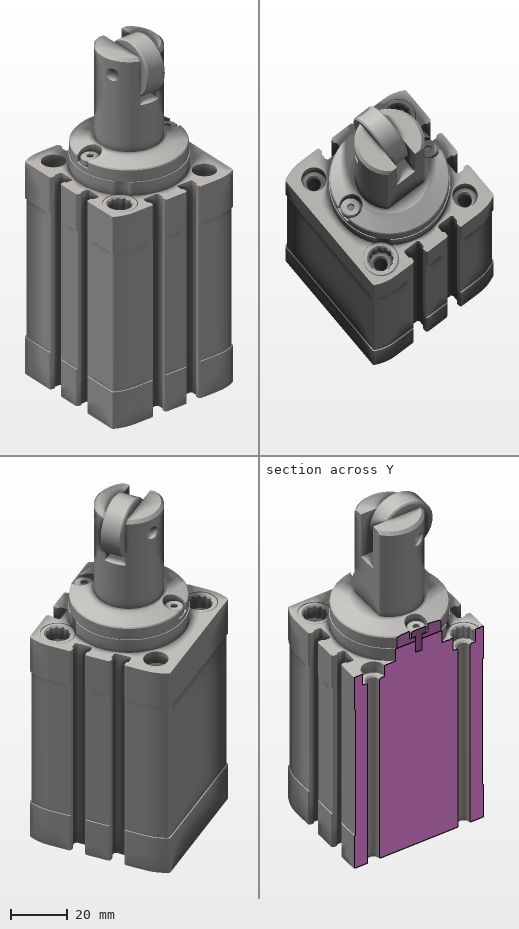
import cadquery as cq
import math

HOUSING_SIDE = 54.5
HOUSING_HEIGHT = 86.6
FRONT_FLAT_HALF = 25.1
CORNER_CHAMFER = 0.3
SIDE_FLAT_HALF = 18.8
END_BAND_HEIGHT = 15.0
MIDDLE_INSET = 0.4

SLOT_OFFSET = 7.6
SLOT_MOUTH_HALF = 2.7
SLOT_CHAMFER = 0.5
SLOT_INNER_HALF = 3.4
SLOT_LIP = 2.0
SLOT_DEPTH = 5.5
SLOT_FACE_ANGLES = (0, 90, -90)

HOLE_PITCH_HALF = 19.0
HOLE_DIAMETER = 5.0
HOLE_MOUTH_DIAMETER = 6.2
COUNTERBORE_DIAMETER = 9.0
COUNTERBORE_DEPTH = 5.0
GROOVE_DIAMETER = 12.8
GROOVE_SIZE = 0.4
SOCKET_FLATS = 8.0
SOCKET_DEPTH = 5.6
SOCKET_MOUTH_DIAMETER = 9.9
SOCKET_HEXAGONS = 2

BOSS_DIAMETER = 43.0
BOSS_TOP = 92.1
CAP_DIAMETER = 42.5
CAP_RIM_TOP = 96.7
CAP_CONE_BASE = 97.1
CAP_CONE_DIAMETER = 41.7
CAP_TOP = 99.3
CAP_FLAT_DIAMETER = 28.2

SCREW_RADIUS_FROM_AXIS = 17.5
SCREW_SEAT = 94.0
SCREW_COUNTERBORE_DIAMETER = 8.3
SCREW_OPENING_WIDTH = 6.2
SCREW_HEAD_DIAMETER = 6.9
SCREW_HEAD_HEIGHT = 2.8
SCREW_HEAD_CHAMFER = 0.4
SCREW_SHANK_DIAMETER = 4.0
SCREW_SHANK_LENGTH = 7.0
SCREW_SOCKET_FLATS = 2.5
SCREW_SOCKET_DEPTH = 1.4

ROD_DIAMETER = 25.0
ROD_FLAT_X = -9.5
ROD_TOP = 137.0
ROD_CHAMFER = 1.1
FORK_WIDTH = 8.0
FORK_BOTTOM = 118.0

ROLLER_DIAMETER = 22.0
ROLLER_X = 5.0
ROLLER_TOP = 141.0
ROLLER_Z = ROLLER_TOP - ROLLER_DIAMETER / 2
ROLLER_CHAMFER = 0.5
AXLE_HOLE_DIAMETER = 5.0

SCREW_POINTS = [(0, -SCREW_RADIUS_FROM_AXIS), (0, SCREW_RADIUS_FROM_AXIS)]
SOCKET_HOLES = [(-HOLE_PITCH_HALF, HOLE_PITCH_HALF), (HOLE_PITCH_HALF, -HOLE_PITCH_HALF)]
PLAIN_HOLES = [(-HOLE_PITCH_HALF, -HOLE_PITCH_HALF), (HOLE_PITCH_HALF, HOLE_PITCH_HALF)]


def cylinder(diameter, bottom, top, points=((0, 0),)):
    """Upright cylinders between two heights, one at each point."""
    return (
        cq.Workplane("XY", origin=(0, 0, bottom))
        .pushPoints(list(points))
        .circle(diameter / 2)
        .extrude(top - bottom)
    )


def profile_prism(inset, bottom, top):
    """Housing outline, moved inwards by `inset`; each corner arc is tangent to the -X or +X face."""
    side = HOUSING_SIDE / 2
    bow_x = side - FRONT_FLAT_HALF
    bow_y = side - SIDE_FLAT_HALF
    radius = (bow_x**2 + bow_y**2) / (2 * bow_x)
    half_angle = math.asin(bow_y / radius) / 2
    mid_x = side - radius * (1 - math.cos(half_angle))
    mid_y = SIDE_FLAT_HALF + radius * math.sin(half_angle)
    outline = (
        cq.Workplane("XY", origin=(0, 0, bottom))
        .moveTo(-FRONT_FLAT_HALF, -side)
        .lineTo(FRONT_FLAT_HALF, -side)
        .threePointArc((mid_x, -mid_y), (side, -SIDE_FLAT_HALF))
        .lineTo(side, SIDE_FLAT_HALF)
        .threePointArc((mid_x, mid_y), (FRONT_FLAT_HALF, side))
        .lineTo(-FRONT_FLAT_HALF, side)
        .threePointArc((-mid_x, mid_y), (-side, SIDE_FLAT_HALF))
        .lineTo(-side, -SIDE_FLAT_HALF)
        .threePointArc((-mid_x, -mid_y), (-FRONT_FLAT_HALF, -side))
        .close()
    )
    if inset:
        outline = outline.offset2D(-inset, "intersection")
    prism = outline.extrude(top - bottom)
    return prism.faces("<Y or >Y").edges("|Z").chamfer(CORNER_CHAMFER)


def slot_cutter(center):
    """T-slot cutter in the -Y face, centred at X = `center`."""
    outer = -HOUSING_SIDE / 2
    slope = SLOT_INNER_HALF - SLOT_MOUTH_HALF
    right_side = [
        (SLOT_MOUTH_HALF + SLOT_CHAMFER, outer),
        (SLOT_MOUTH_HALF, outer + SLOT_CHAMFER),
        (SLOT_MOUTH_HALF, outer + SLOT_LIP),
        (SLOT_INNER_HALF, outer + SLOT_LIP + slope),
        (SLOT_INNER_HALF, outer + SLOT_DEPTH - SLOT_CHAMFER),
        (SLOT_INNER_HALF - SLOT_CHAMFER, outer + SLOT_DEPTH),
    ]
    left_side = [(-x, y) for x, y in reversed(right_side)]
    points = [(center + x, y) for x, y in right_side + left_side]
    return cq.Workplane("XY").polyline(points).close().extrude(HOUSING_HEIGHT)


def cone(bottom_diameter, bottom, top_diameter, top):
    """Upright truncated cone on the Z axis."""
    return (
        cq.Workplane("XY", origin=(0, 0, bottom))
        .circle(bottom_diameter / 2)
        .workplane(offset=top - bottom)
        .circle(top_diameter / 2)
        .loft()
    )


def hexagon_prism(flats, bottom, top, turn):
    """Upright hexagon prism; with no turn, two of its corners lie along X."""
    corner_diameter = flats / math.cos(math.pi / 6)
    prism = cq.Workplane("XY", origin=(0, 0, bottom)).polygon(6, corner_diameter)
    return prism.extrude(top - bottom).rotate((0, 0, 0), (0, 0, 1), turn)


def hole_mouth_cutter(floor):
    """Chamfer at the mouth of a mounting hole that opens in a floor at the given height."""
    depth = (HOLE_MOUTH_DIAMETER - HOLE_DIAMETER) / 2
    return cone(HOLE_DIAMETER, floor - depth, HOLE_MOUTH_DIAMETER, floor)


def plain_hole_cutter():
    """Counterbored mounting hole on the Z axis."""
    floor = HOUSING_HEIGHT - COUNTERBORE_DEPTH
    return (
        cylinder(HOLE_DIAMETER, 0, HOUSING_HEIGHT)
        .union(cylinder(COUNTERBORE_DIAMETER, floor, HOUSING_HEIGHT))
        .union(hole_mouth_cutter(floor))
    )


def socket_hole_cutter():
    """Mounting hole on the Z axis with a twelve-point socket in a V-groove, clear of the boss."""
    floor = HOUSING_HEIGHT - SOCKET_DEPTH
    groove_floor = HOUSING_HEIGHT - GROOVE_SIZE
    groove_inner_diameter = GROOVE_DIAMETER - 2 * GROOVE_SIZE
    island = cone(GROOVE_DIAMETER, groove_floor, groove_inner_diameter, HOUSING_HEIGHT)
    cutter = cylinder(GROOVE_DIAMETER, groove_floor, BOSS_TOP).cut(island)
    cutter = cutter.union(cylinder(HOLE_DIAMETER, 0, HOUSING_HEIGHT)).union(hole_mouth_cutter(floor))
    for index in range(SOCKET_HEXAGONS):
        turn = index * 60 / SOCKET_HEXAGONS
        cutter = cutter.union(hexagon_prism(SOCKET_FLATS, floor, HOUSING_HEIGHT, turn))
    socket_chamfer = (SOCKET_MOUTH_DIAMETER - SOCKET_FLATS) / 2
    mouth = cone(SOCKET_FLATS, HOUSING_HEIGHT - socket_chamfer, SOCKET_MOUTH_DIAMETER, HOUSING_HEIGHT)
    return cutter.union(mouth)


def make_housing():
    band_top = HOUSING_HEIGHT - END_BAND_HEIGHT
    housing = (
        profile_prism(0, 0, END_BAND_HEIGHT)
        .union(profile_prism(MIDDLE_INSET, END_BAND_HEIGHT, band_top))
        .union(profile_prism(0, band_top, HOUSING_HEIGHT))
        .union(cylinder(BOSS_DIAMETER, HOUSING_HEIGHT, BOSS_TOP))
    )
    for angle in SLOT_FACE_ANGLES:
        for center in (-SLOT_OFFSET, SLOT_OFFSET):
            housing = housing.cut(slot_cutter(center).rotate((0, 0, 0), (0, 0, 1), angle))
    for x, y in PLAIN_HOLES:
        housing = housing.cut(plain_hole_cutter().translate((x, y, 0)))
    for x, y in SOCKET_HOLES:
        housing = housing.cut(socket_hole_cutter().translate((x, y, 0)))
    screw_hole_bottom = SCREW_SEAT - SCREW_SHANK_LENGTH
    return housing.cut(cylinder(SCREW_SHANK_DIAMETER, screw_hole_bottom, BOSS_TOP, SCREW_POINTS))


def rod_blank(bottom, top):
    """Round bar with one flat on its -X side."""
    bar = cylinder(ROD_DIAMETER, bottom, top)
    keep = cq.Workplane("XY", origin=(ROD_FLAT_X, 0, bottom)).rect(
        2 * ROD_DIAMETER, 2 * ROD_DIAMETER
    )
    keep = keep.extrude(top - bottom).translate((ROD_DIAMETER, 0, 0))
    return bar.intersect(keep)


def make_cap():
    cap = (
        cq.Workplane("XZ")
        .moveTo(0, BOSS_TOP)
        .lineTo(CAP_DIAMETER / 2, BOSS_TOP)
        .lineTo(CAP_DIAMETER / 2, CAP_RIM_TOP)
        .lineTo(CAP_CONE_DIAMETER / 2, CAP_CONE_BASE)
        .lineTo(CAP_FLAT_DIAMETER / 2, CAP_TOP)
        .lineTo(0, CAP_TOP)
        .close()
        .revolve(360, (0, 0), (0, 1))
    )
    cap = cap.cut(rod_blank(BOSS_TOP, CAP_TOP))
    cap = cap.cut(cylinder(SCREW_COUNTERBORE_DIAMETER, SCREW_SEAT, CAP_TOP, SCREW_POINTS))
    openings = (
        cq.Workplane("XY", origin=(0, 0, SCREW_SEAT))
        .pushPoints([(0, 2 * y) for _, y in SCREW_POINTS])
        .rect(SCREW_OPENING_WIDTH, 2 * SCREW_RADIUS_FROM_AXIS)
        .extrude(CAP_TOP - SCREW_SEAT)
    )
    cap = cap.cut(openings)
    return cap.cut(cylinder(SCREW_SHANK_DIAMETER, BOSS_TOP, SCREW_SEAT, SCREW_POINTS))


def make_screw(point):
    """Socket head screw seated in the cap, its socket pointing a corner along Y."""
    head_top = SCREW_SEAT + SCREW_HEAD_HEIGHT
    socket = hexagon_prism(SCREW_SOCKET_FLATS, head_top - SCREW_SOCKET_DEPTH, head_top, 90)
    screw = (
        cylinder(SCREW_HEAD_DIAMETER, SCREW_SEAT, head_top)
        .faces(">Z")
        .chamfer(SCREW_HEAD_CHAMFER)
        .union(cylinder(SCREW_SHANK_DIAMETER, SCREW_SEAT - SCREW_SHANK_LENGTH, SCREW_SEAT))
        .cut(socket)
    )
    return screw.translate((point[0], point[1], 0))


def along_y(diameter, length):
    """Cylinder on the roller axis, centred on the XZ plane."""
    return (
        cq.Workplane("XZ", origin=(ROLLER_X, length / 2, ROLLER_Z))
        .circle(diameter / 2)
        .extrude(length)
    )


def make_rod():
    chamfered = cylinder(ROD_DIAMETER, BOSS_TOP, ROD_TOP).faces(">Z").chamfer(ROD_CHAMFER)
    rod = chamfered.intersect(rod_blank(BOSS_TOP, ROD_TOP))
    fork = (
        cq.Workplane("XY", origin=(0, 0, FORK_BOTTOM))
        .rect(2 * ROD_DIAMETER, FORK_WIDTH)
        .extrude(ROD_TOP - FORK_BOTTOM)
    )
    return rod.cut(fork).cut(along_y(AXLE_HOLE_DIAMETER, ROD_DIAMETER))


def make_roller():
    return along_y(ROLLER_DIAMETER, FORK_WIDTH).edges().chamfer(ROLLER_CHAMFER)


housing = make_housing()
cap = make_cap()
screws = [make_screw(point) for point in SCREW_POINTS]
rod = make_rod()
roller = make_roller()

result = cq.Compound.makeCompound(
    [housing.val(), cap.val(), *[screw.val() for screw in screws], rod.val(), roller.val()]
)